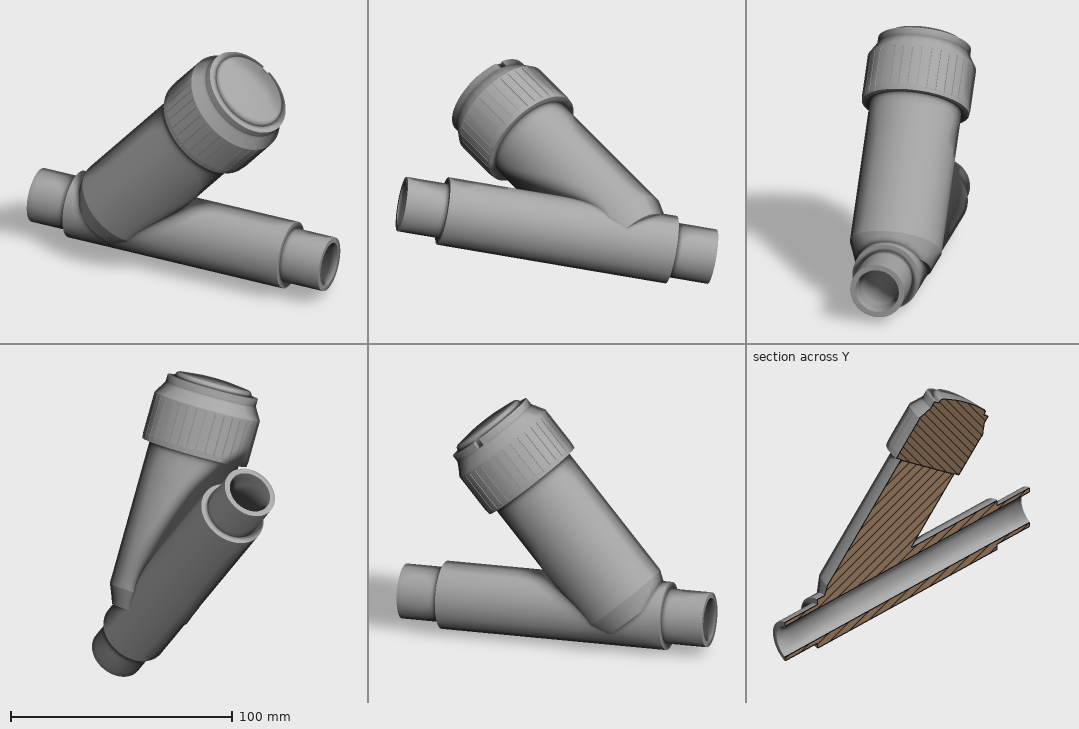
import cadquery as cq
import math

pipe_length = 144.0
barrel_length = 106.0
spigot_diameter = 25.0
barrel_diameter = 31.0
bore_diameter = 20.0

bonnet_angle = 50.0
bonnet_foot_x = -37.0
bonnet_diameter = 41.9
bonnet_nose_diameter = 35.0
bonnet_shoulder_height = 8.7
bonnet_top_height = 76.0

cap_diameter = 49.5
cap_lower_diameter = 48.9
cap_taper_height = 2.5
cap_grip_height = 21.6
cap_neck_height = 27.5
cap_ring_height = 31.0
cap_ring_diameter = 42.4

disc_diameter = 35.9
disc_edge_radius = 1.8
dome_height = 3.8
dome_sphere_radius = 100.0

groove_count = 36
groove_width = 0.5
groove_depth = 0.3
groove_top_margin = 0.8

notch_width = 3.4

bonnet_tilt = 90.0 - bonnet_angle


def x_cylinder(diameter, length):
    """Cylinder along X, centred on the origin."""
    return cq.Workplane("YZ", origin=(-length / 2, 0, 0)).circle(diameter / 2).extrude(length)


def place_on_bonnet_axis(shape):
    """Tilt a shape built along Z toward +X and move it to the foot of the bonnet axis."""
    tilted = shape.rotate((0, 0, 0), (0, 1, 0), bonnet_tilt)
    return tilted.translate((bonnet_foot_x, 0, 0))


def make_body():
    bonnet_profile = [
        (0, 0),
        (bonnet_nose_diameter / 2, 0),
        (bonnet_diameter / 2, bonnet_shoulder_height),
        (bonnet_diameter / 2, bonnet_top_height),
        (0, bonnet_top_height),
    ]
    bonnet = cq.Workplane("XZ").polyline(bonnet_profile).close().revolve(360, (0, 0, 0), (0, 1, 0))
    pipe = x_cylinder(spigot_diameter, pipe_length).union(x_cylinder(barrel_diameter, barrel_length))
    bore = x_cylinder(bore_diameter, pipe_length)
    return pipe.union(place_on_bonnet_axis(bonnet)).cut(bore)


def make_cap_shell():
    """Turned shape of the cap: tapered foot, grip, conical shoulder and ring."""
    cap_profile = [
        (0, 0),
        (cap_lower_diameter / 2, 0),
        (cap_diameter / 2, cap_taper_height),
        (cap_diameter / 2, cap_grip_height),
        (cap_ring_diameter / 2, cap_neck_height),
        (cap_ring_diameter / 2, cap_ring_height),
        (0, cap_ring_height),
    ]
    return cq.Workplane("XZ").polyline(cap_profile).close().revolve(360, (0, 0, 0), (0, 1, 0))


def make_domed_disc():
    """Disc through the ring, with a shallow spherical top and a rounded edge."""
    disc_radius = disc_diameter / 2
    middle_radius = disc_radius / 2
    dome_centre_height = cap_ring_height + dome_height - dome_sphere_radius
    edge_top = dome_centre_height + math.sqrt(dome_sphere_radius**2 - disc_radius**2)
    middle_top = dome_centre_height + math.sqrt(dome_sphere_radius**2 - middle_radius**2)
    disc = (
        cq.Workplane("XZ")
        .moveTo(0, cap_neck_height)
        .lineTo(disc_radius, cap_neck_height)
        .lineTo(disc_radius, edge_top)
        .threePointArc((middle_radius, middle_top), (0, cap_ring_height + dome_height))
        .close()
        .revolve(360, (0, 0, 0), (0, 1, 0))
    )
    return disc.faces("%CYLINDER").edges(">Z").fillet(disc_edge_radius)


def make_grip_grooves():
    return (
        cq.Workplane("XY")
        .polarArray(cap_diameter / 2, 0, 360, groove_count)
        .rect(2 * groove_depth, groove_width)
        .extrude(cap_grip_height - groove_top_margin)
    )


def make_ring_notch():
    """Slot from the cap axis outward, as deep as the ring is high."""
    outer_radius = cap_diameter / 2
    return (
        cq.Workplane("XY", origin=(0, 0, cap_neck_height))
        .center(0, outer_radius / 2)
        .rect(notch_width, outer_radius)
        .extrude(cap_ring_height - cap_neck_height)
    )


def make_cap():
    cap = make_cap_shell().cut(make_grip_grooves()).cut(make_ring_notch()).union(make_domed_disc())
    return place_on_bonnet_axis(cap.translate((0, 0, bonnet_top_height)))


body = make_body()
cap = make_cap()

result = cq.Compound.makeCompound([body.solids().val(), cap.solids().val()])